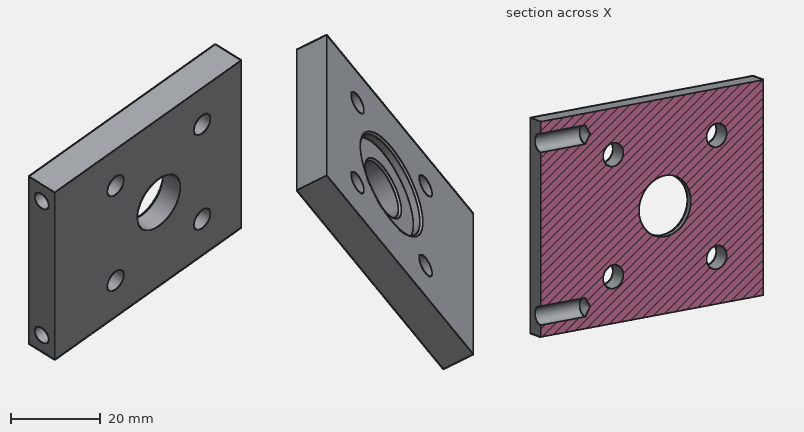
import cadquery as cq
import math

thickness = 8.0
length = 61.0
height = 50.0

bore_offset = 3.55
seat_diameter = 25.0
seat_depth = 2.2
bore_diameter = 14.0
edge_chamfer = 0.5

bolt_spacing = 28.3
bolt_hole_diameter = 5.35

end_hole_diameter = 4.3
end_hole_depth = 12.2
end_hole_edge_distance = 5.0
drill_point_angle = 118.0


def stepped_bore():
    """Solid of revolution that removes the seat, the bore and their chamfers."""
    seat_radius = seat_diameter / 2
    bore_radius = bore_diameter / 2
    front = -thickness / 2
    floor = front + seat_depth
    profile = (
        cq.Workplane("XY")
        .moveTo(front, 0)
        .lineTo(front, seat_radius + edge_chamfer)
        .lineTo(front + edge_chamfer, seat_radius)
        .lineTo(floor, seat_radius)
        .lineTo(floor, bore_radius + edge_chamfer)
        .lineTo(floor + edge_chamfer, bore_radius)
        .lineTo(thickness / 2, bore_radius)
        .lineTo(thickness / 2, 0)
        .close()
    )
    return profile.revolve(360, (0, 0, 0), (1, 0, 0)).translate((0, bore_offset, 0))


def bolt_holes():
    """Four cylinders through the plate thickness, centred on the bore."""
    return (
        cq.Workplane("YZ")
        .center(bore_offset, 0)
        .rect(bolt_spacing, bolt_spacing, forConstruction=True)
        .vertices()
        .circle(bolt_hole_diameter / 2)
        .extrude(thickness / 2, both=True)
    )


def end_hole(z):
    """Blind hole along +Y with a conical drill point."""
    radius = end_hole_diameter / 2
    point_depth = radius / math.tan(math.radians(drill_point_angle / 2))
    profile = (
        cq.Workplane("XY")
        .lineTo(radius, 0)
        .lineTo(radius, end_hole_depth)
        .lineTo(0, end_hole_depth + point_depth)
        .close()
    )
    return profile.revolve(360, (0, 0, 0), (0, 1, 0)).translate((0, -length / 2, z))


result = cq.Workplane("XY").box(thickness, length, height)
result = result.cut(stepped_bore()).cut(bolt_holes())

end_hole_height = height / 2 - end_hole_edge_distance
for z in (-end_hole_height, end_hole_height):
    result = result.cut(end_hole(z))